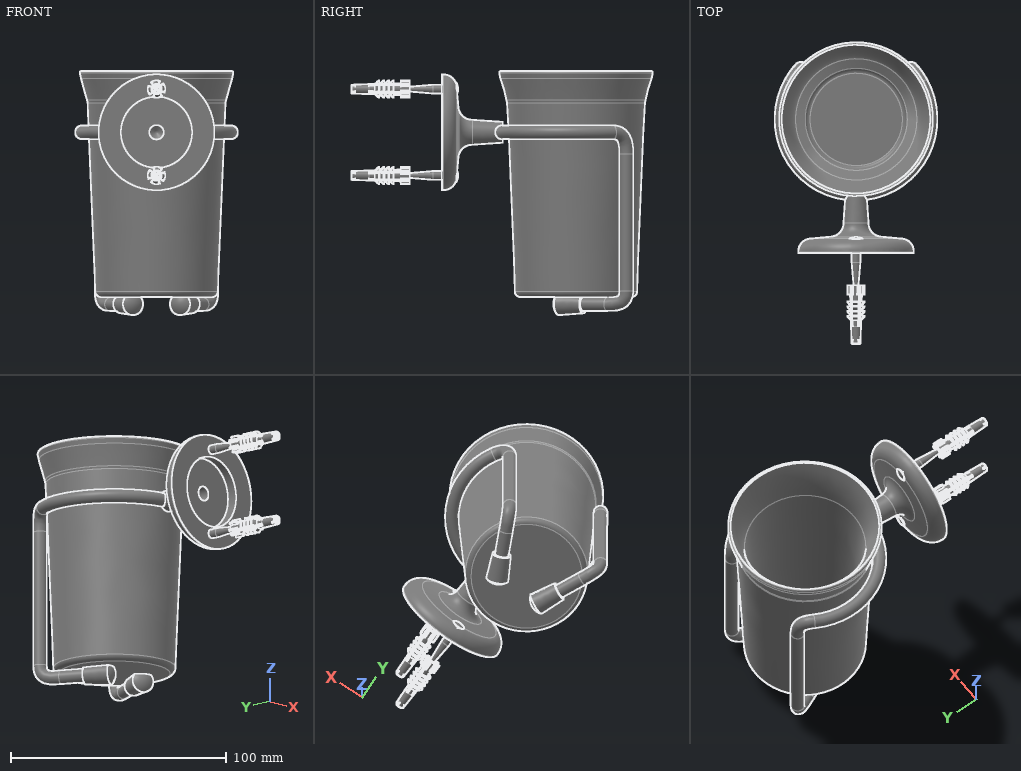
import cadquery as cq
import math


cup_height = 105.0
cup_base_r = 28.5
cup_base_round = 2.7
cup_neck_r = 32.1
cup_neck_z = 90.3
cup_flare_r = 32.4
cup_flare_z = 91.6
cup_lip_r = 35.2
cup_lip_z = 101.7
cup_rim_r = 35.8
cup_rim_round = 0.8
cup_mouth_r = 34.5
cup_bore_top_r = 28.2
cup_bore_top_z = 86.8
cup_bore_base_r = 23.7
cup_floor_z = 4.2
cup_floor_round = 2.2

wire_r = 3.2
ring_r = 34.6
ring_z = 76.6
ring_end_angle = 150.4
leg_angle = 137.5
leg_top_z = 66.6
leg_base_z = 3.1
foot_z = -wire_r
foot_turn = 25.0
foot_bend_reach = 10.1

cap_start = 22.2
cap_length = 12.5
cap_mouth_r = 4.3
cap_rim_r = 5.2
cap_dome = 2.1
cap_bore_depth = 7.0

flange_r = 26.9
flange_back_y = -62.3
flange_edge = 0.7
flange_round = 6.2
flange_crown_y = -54.5
stem_tip_y = -34.0
stem_tip_r = 4.9
stem_root_y = -48.2
stem_root_r = 5.9
stem_flare_r = 11.9
pocket_r = 16.5
pocket_depth = 5.2
drill_r = 3.4
drill_depth = 8.4
drill_tip = 2.0

screw_offset = 20.0
screw_r = 2.1
screw_taper_y = -66.5
screw_point_y = -91.2
head_r = 3.1
head_seat_y = -56.5
head_edge_y = -55.5
head_top_y = -54.7

plug_start_y = -77.1
plug_end_y = -104.5
plug_start_r = 3.0
plug_groove_end_r = 2.4
plug_end_r = 2.1
plug_turn = 8.0
plug_tip_chamfer = 0.4
fin_spread = 19.0
fin_r = 4.0
fin_length = 4.3
fin_width = 0.8
barb_count = 4
barb_start_y = -84.5
barb_pitch = 2.2
barb_length = 2.1
barb_land = 0.4
barb_width = 3.1
groove_count = 4
groove_width = 1.0
groove_floor_r = 1.8
groove_end_y = -96.2
tip_slot_width = 0.5
tip_slot_depth = 2.0

diagonal = math.sqrt(0.5)


def on_circle(radius, angle, z):
    return cq.Vector(radius * math.cos(math.radians(angle)), radius * math.sin(math.radians(angle)), z)


def turn_about_z(outline):
    return outline.close().revolve(360, (0, 0), (0, 1))


def turn_about_y(outline):
    """Revolve a (radius, y) outline about the Y axis."""
    return outline.close().revolve(360, (0, 0, 0), (0, 1, 0))


def mirror_x(body):
    return body.mirror("YZ")


def make_cup():
    base_cut = cup_base_round * (1 - diagonal)
    rim_cut = cup_rim_round * (1 - diagonal)
    floor_cut = cup_floor_round * (1 - diagonal)
    outside = (
        cq.Workplane("XZ")
        .lineTo(cup_base_r - cup_base_round, 0)
        .threePointArc((cup_base_r - base_cut, base_cut), (cup_base_r, cup_base_round))
        .lineTo(cup_neck_r, cup_neck_z)
        .lineTo(cup_flare_r, cup_flare_z)
        .lineTo(cup_lip_r, cup_lip_z)
        .lineTo(cup_rim_r, cup_height - cup_rim_round)
        .threePointArc((cup_rim_r - rim_cut, cup_height - rim_cut), (cup_rim_r - cup_rim_round, cup_height))
        .lineTo(0, cup_height)
    )
    inside = (
        cq.Workplane("XZ")
        .moveTo(0, cup_floor_z)
        .lineTo(cup_bore_base_r - cup_floor_round, cup_floor_z)
        .threePointArc(
            (cup_bore_base_r - floor_cut, cup_floor_z + floor_cut),
            (cup_bore_base_r, cup_floor_z + cup_floor_round),
        )
        .lineTo(cup_bore_top_r, cup_bore_top_z)
        .tangentArcPoint((cup_mouth_r, cup_height), relative=False)
        .lineTo(0, cup_height)
    )
    return turn_about_z(outside).cut(turn_about_z(inside))


foot_direction = cq.Vector(math.sin(math.radians(foot_turn)), -math.cos(math.radians(foot_turn)), 0)
foot_origin = on_circle(ring_r, leg_angle, foot_z)


def make_holder():
    """Half of the wire is swept from the ring front to the left foot, then mirrored."""
    down = cq.Vector(0, 0, -1)
    ring_front = cq.Vector(0, -ring_r, ring_z)
    ring_end = on_circle(ring_r, ring_end_angle, ring_z)
    ring_middle = on_circle(ring_r, (ring_end_angle + 270) / 2, ring_z)
    ring_end_direction = on_circle(1, ring_end_angle - 90, 0)
    leg_top = on_circle(ring_r, leg_angle, leg_top_z)
    leg_base = on_circle(ring_r, leg_angle, leg_base_z)
    foot_start = foot_origin + foot_direction * foot_bend_reach
    foot_end = foot_origin + foot_direction * (cap_start + cap_bore_depth)
    path = cq.Wire.assembleEdges([
        cq.Edge.makeThreePointArc(ring_front, ring_middle, ring_end),
        cq.Edge.makeSpline([ring_end, leg_top], [ring_end_direction, down]),
        cq.Edge.makeLine(leg_top, leg_base),
        cq.Edge.makeSpline([leg_base, foot_start], [down, foot_direction]),
        cq.Edge.makeLine(foot_start, foot_end),
    ])
    section = cq.Workplane("YZ", origin=ring_front.toTuple()).circle(wire_r)
    half = section.sweep(cq.Workplane(path))
    return half.union(mirror_x(half))


def make_left_cap(holder):
    """Tapered cap with a domed end, bored for the wire and flattened under the tumbler."""
    dome_r = (cap_rim_r**2 + cap_dome**2) / (2 * cap_dome)
    dome_mid_r = cap_rim_r / 2
    dome_mid_rise = math.sqrt(dome_r**2 - dome_mid_r**2) - (dome_r - cap_dome)
    cap = turn_about_y(
        cq.Workplane("XY")
        .lineTo(cap_mouth_r, 0)
        .lineTo(cap_rim_r, -cap_length)
        .threePointArc((dome_mid_r, -cap_length - dome_mid_rise), (0, -cap_length - cap_dome))
    )
    mouth = foot_origin + foot_direction * cap_start
    cap = cap.rotate((0, 0, 0), (0, 0, 1), foot_turn).translate(mouth)
    above_base = cq.Workplane("XY").circle(ring_r).extrude(cap_rim_r)
    return cap.cut(above_base).cut(holder)


def make_screw():
    """Screw on the Y axis, with a low domed head at the flange front and a long point."""
    head_rise = head_top_y - head_edge_y
    dome_r = (head_r**2 + head_rise**2) / (2 * head_rise)
    dome_mid_r = head_r / 2
    dome_mid_y = head_top_y - dome_r + math.sqrt(dome_r**2 - dome_mid_r**2)
    return turn_about_y(
        cq.Workplane("XY")
        .moveTo(0, head_top_y)
        .threePointArc((dome_mid_r, dome_mid_y), (head_r, head_edge_y))
        .lineTo(head_r, head_seat_y)
        .lineTo(screw_r, head_seat_y)
        .lineTo(screw_r, screw_taper_y)
        .lineTo(0, screw_point_y)
    )


def make_flange(holder, screws):
    round_y = flange_back_y + flange_edge
    round_mid = flange_round * diagonal
    round_centre_r = flange_r - flange_round
    flare_width = stem_flare_r - stem_root_r
    flare_drop = stem_root_y - flange_crown_y
    flange = turn_about_y(
        cq.Workplane("XY")
        .moveTo(0, stem_tip_y)
        .lineTo(stem_tip_r, stem_tip_y)
        .lineTo(stem_root_r, stem_root_y)
        .threePointArc(
            (stem_flare_r - flare_width * diagonal, stem_root_y - flare_drop * diagonal),
            (stem_flare_r, flange_crown_y),
        )
        .lineTo(round_centre_r, round_y + flange_round)
        .threePointArc((round_centre_r + round_mid, round_y + round_mid), (flange_r, round_y))
        .lineTo(flange_r, flange_back_y)
        .lineTo(0, flange_back_y)
    )
    pocket_floor_y = flange_back_y + pocket_depth
    drill_end_y = pocket_floor_y + drill_depth
    pocket = turn_about_y(
        cq.Workplane("XY")
        .moveTo(0, flange_back_y)
        .lineTo(pocket_r, flange_back_y)
        .lineTo(pocket_r, pocket_floor_y)
        .lineTo(drill_r, pocket_floor_y)
        .lineTo(drill_r, drill_end_y)
        .lineTo(0, drill_end_y + drill_tip)
    )
    flange = flange.cut(pocket).translate((0, 0, ring_z)).cut(holder)
    for screw in screws:
        flange = flange.cut(screw)
    return flange


def plug_radius(y):
    """Radius of the grooved part of the plug, which tapers towards the tip."""
    share = (plug_start_y - y) / (plug_start_y - groove_end_y)
    return plug_start_r + (plug_groove_end_r - plug_start_r) * share


def radial_bar(width, inner_r, outer_r, start_y, end_y, angle):
    """Bar along Y that reaches from inner_r to outer_r, turned about the Y axis.

    A negative inner_r carries the bar across the axis.
    """
    return (
        cq.Workplane("XY")
        .box(outer_r - inner_r, start_y - end_y, width)
        .translate(((inner_r + outer_r) / 2, (start_y + end_y) / 2, 0))
        .rotate((0, 0, 0), (0, 1, 0), angle)
    )


def make_plug(screw):
    """Tapered plug on the Y axis with a finned collar, barbs, grooves and a slotted tip."""
    plug = turn_about_y(
        cq.Workplane("XY")
        .moveTo(0, plug_start_y)
        .lineTo(plug_start_r, plug_start_y)
        .lineTo(plug_groove_end_r, groove_end_y)
        .lineTo(plug_end_r, plug_end_y + plug_tip_chamfer)
        .lineTo(plug_end_r - plug_tip_chamfer, plug_end_y)
        .lineTo(0, plug_end_y)
    )
    strip_end_y = barb_start_y - barb_count * barb_pitch
    barb_strips = [
        radial_bar(barb_width, -fin_r, fin_r, barb_start_y, strip_end_y, strip_angle)
        for strip_angle in (0, 90)
    ]
    for i in range(barb_count):
        top_y = barb_start_y - i * barb_pitch
        end_y = top_y - barb_length
        barb = turn_about_y(
            cq.Workplane("XY")
            .moveTo(0, top_y)
            .lineTo(fin_r, top_y)
            .lineTo(fin_r, top_y - barb_land)
            .lineTo(plug_radius(end_y), end_y)
            .lineTo(0, end_y)
        )
        for strip in barb_strips:
            plug = plug.union(barb.intersect(strip))
    groove_step = 360 / groove_count
    groove_angles = [(i + 0.5) * groove_step for i in range(groove_count)]
    fin_end_y = plug_start_y - fin_length
    for groove_angle in groove_angles:
        for fin_angle in (groove_angle - fin_spread, groove_angle + fin_spread):
            fin = radial_bar(fin_width, groove_floor_r, fin_r, plug_start_y, fin_end_y, fin_angle)
            plug = plug.union(fin)
    for groove_angle in groove_angles:
        groove = radial_bar(groove_width, groove_floor_r, 2 * fin_r, plug_start_y, groove_end_y, groove_angle)
        plug = plug.cut(groove)
    tip_slot_floor_y = plug_end_y + tip_slot_depth
    for slot_angle in groove_angles[:2]:
        slot = radial_bar(tip_slot_width, -fin_r, fin_r, tip_slot_floor_y, plug_end_y, slot_angle)
        plug = plug.cut(slot)
    return plug.rotate((0, 0, 0), (0, 1, 0), -plug_turn).cut(screw)


def above_and_below(body):
    """Copies of a Y-axis body above and below the flange centre, mirrored about it."""
    upper = body.translate((0, 0, screw_offset))
    return [copy.translate((0, 0, ring_z)) for copy in (upper, upper.mirror("XY"))]


cup = make_cup()
holder = make_holder().cut(cup)
left_cap = make_left_cap(holder)
caps = [left_cap, mirror_x(left_cap)]
screw_on_axis = make_screw()
screws = above_and_below(screw_on_axis)
plugs = above_and_below(make_plug(screw_on_axis))
flange = make_flange(holder, screws)

bodies = [cup, holder, flange, *caps, *screws, *plugs]
result = cq.Compound.makeCompound([body.solids().val() for body in bodies])